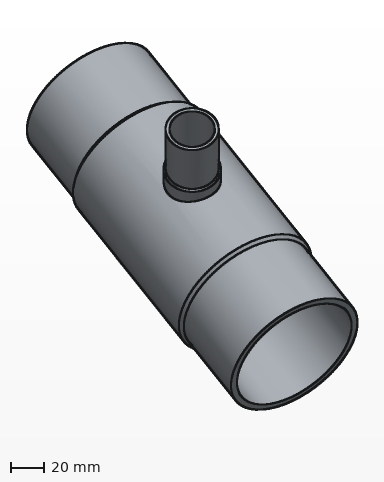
import cadquery as cq

pipe_length = 230.0
pipe_diameter = 90.0
bore_diameter = 81.5

sleeve_length = 123.7
sleeve_diameter = 94.3
sleeve_chamfer = (sleeve_diameter - pipe_diameter) / 2

overall_height = 142.1
branch_top = overall_height - sleeve_diameter / 2
branch_diameter = 32.0
branch_bore_diameter = 27.1
collar_diameter = 34.5
collar_top = 57.0
collar_chamfer = (collar_diameter - branch_diameter) / 2


def cylinder_along_x(diameter, length):
    """Solid cylinder on the X axis, centred on the origin."""
    return cq.Workplane("YZ", origin=(-length / 2, 0, 0)).circle(diameter / 2).extrude(length)


def cylinder_up_z(diameter, height):
    """Solid cylinder on the Z axis, rising from the main pipe's axis."""
    return cq.Workplane("XY").circle(diameter / 2).extrude(height)


pipe = cylinder_along_x(pipe_diameter, pipe_length)
sleeve = cylinder_along_x(sleeve_diameter, sleeve_length).edges().chamfer(sleeve_chamfer)
branch = cylinder_up_z(branch_diameter, branch_top)
collar = cylinder_up_z(collar_diameter, collar_top).faces(">Z").edges().chamfer(collar_chamfer)

main_bore = cylinder_along_x(bore_diameter, pipe_length)
branch_bore = cylinder_up_z(branch_bore_diameter, branch_top)

result = pipe.union(sleeve).union(branch).union(collar).cut(main_bore).cut(branch_bore)